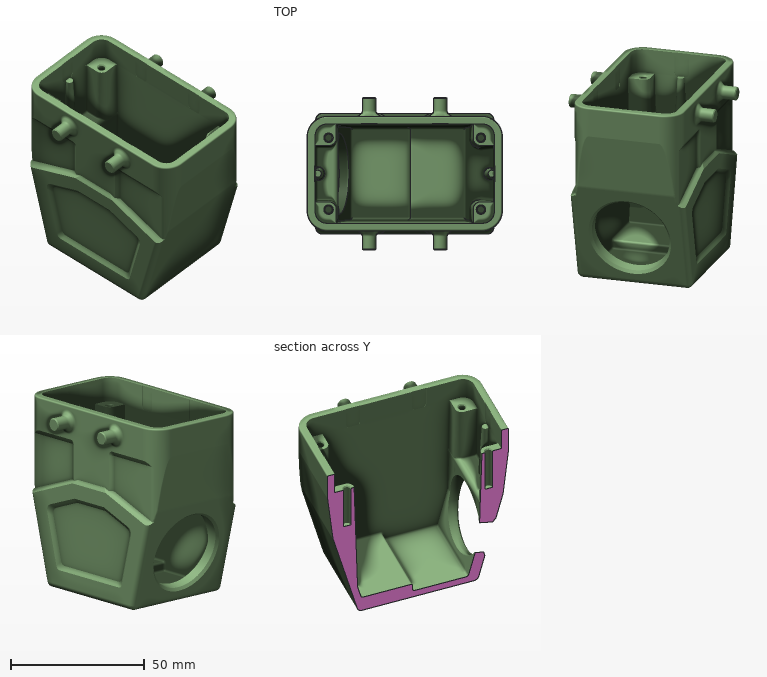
import cadquery as cq
import math

length = 73.0
height = 72.0
body_width = 42.85
body_corner_radius = 7.7
rim_rounding = 0.6

straight_wall_bottom = 60.8
slope_top = 39.8
slope_bend_radius = 5.85
slope_angle = 14.4
base_half_length = 24.1
upper_body_bottom = 21.9

block_width = 45.2
block_rounding = 2.2
gable_half_length = 9.5
gable_top = 44.45
gable_angle = 20.0
gable_bevel = 1.5

recess_depth = 1.0
recess_bevel = 1.8
recess_inner_x = 9.8
recess_top = 59.2
recess_edge_rounding = 2.2
drafted_edge_rounding = 0.9

panel_depth = 1.25
panel_bevel = 1.75
panel_bottom = 7.8
panel_top = 37.2
panel_top_half_length = 8.2
panel_side_margin = 8.2
panel_lower_corner_radius = 3.3
panel_upper_corner_radius = 5.1

pin_span = 57.0
pin_x = 13.3
pin_z = 65.8
pin_diameter = 5.1
pin_tip_chamfer = 0.4
pin_root_cone = 1.5
pin_root_radius = 1.3

mouth_length = 67.0
mouth_width = 37.1
mouth_corner_radius = 4.4
seat_z = 62.8
cavity_draft = 1.3
entry_floor_z = 3.2
raised_floor_z = 6.7
floor_step_x = 2.1
plain_wall_thickness = 3.1
entry_wall_thickness = 4.8
entry_wall_x = -24.9
entry_shelf_z = 40.15
floor_rounding = 0.9
shelf_edge_rounding = 1.8

post_inner_x = 25.6
post_inner_y = 10.6
post_corner_radius = 2.55
post_draft = 1.6
post_foot_rounding = 1.1
post_shelf_rounding = 0.6
screw_x = 28.5
screw_y = 13.4
screw_diameter = 2.7
screw_mouth_diameter = 3.5
screw_mouth_angle = 90.0
screw_depth = 18.25

rib_x = 32.5
rib_top_radius = 1.3
rib_base_radius = 3.1
rib_base_z = 32.1

groove_depth = 0.15
groove_radius = 2.85
groove_z = 64.6

entry_diameter = 30.4
entry_mouth_diameter = 32.35
entry_z = 19.85
entry_reach = 14.6

slope = math.tan(math.radians(slope_angle))
gable_slope = math.tan(math.radians(gable_angle))
half_body = body_width / 2
half_block = block_width / 2
recess_floor_y = half_body - recess_depth
selection_slack = 0.1


def slope_x(z):
    """Half length of the sloped end walls at height z."""
    return base_half_length + slope * z


def gable_meets_slope(half_top, z_top, side_margin):
    """Point where a falling gable line reaches the sloped side, moved in by side_margin."""
    z = (z_top + gable_slope * (half_top - base_half_length + side_margin)) / (1 + gable_slope * slope)
    return slope_x(z) - side_margin, z


def mirrored_outline(right_side):
    """Closed X-Z outline from its right-hand points, listed bottom to top."""
    left_side = [(-x, z) for x, z in reversed(right_side)]
    return cq.Workplane("XZ").polyline(right_side + left_side).close()


def edges_in_heights(edges, bottom, top):
    """Keep the edges whose centres lie between two heights."""
    return edges_in_range(edges, (-length, length), (bottom, top))


def edges_in_range(edges, x_range, z_range):
    """Keep the edges whose centres lie inside an X range and a Z range."""
    low = (x_range[0] - selection_slack, -length, z_range[0] - selection_slack)
    high = (x_range[1] + selection_slack, length, z_range[1] + selection_slack)
    return edges.edges(cq.selectors.BoxSelector(low, high))


def on_both_sides(shape):
    return shape.union(shape.mirror("XZ"))


def on_both_ends(shape):
    return shape.union(shape.mirror("YZ"))


def make_upper_body():
    upper = (
        cq.Workplane("XY", origin=(0, 0, upper_body_bottom))
        .rect(length, body_width)
        .extrude(height - upper_body_bottom)
    )
    upper = upper.edges("|Z").fillet(body_corner_radius)
    end_profile = mirrored_outline([
        (base_half_length, 0),
        (slope_x(slope_top), slope_top),
        (length / 2, straight_wall_bottom),
        (length / 2, height),
    ]).extrude(half_body, both=True)
    bend_edges = edges_in_heights(end_profile.edges("|Y"), slope_top, slope_top)
    upper = upper.intersect(bend_edges.fillet(slope_bend_radius))
    upper = upper.faces(">Z").edges().fillet(rim_rounding)

    floor_inner_x = recess_inner_x + recess_bevel
    floor_top = recess_top - recess_bevel
    bevel_angle = math.degrees(math.atan2(recess_bevel, recess_depth))
    recess = (
        cq.Workplane("XZ", origin=(0, -recess_floor_y, 0))
        .moveTo((floor_inner_x + length) / 2, floor_top / 2)
        .rect(length - floor_inner_x, floor_top)
        .extrude(2 * recess_depth, taper=-bevel_angle)
    )
    upper = upper.cut(on_both_ends(on_both_sides(recess)))

    recess_corner_x = math.sqrt(body_corner_radius**2 - (body_corner_radius - recess_depth)**2)
    recess_end_x = length / 2 - body_corner_radius + recess_corner_x
    for x in (-recess_end_x, recess_end_x):
        recess_ends = edges_in_range(upper.edges("|Z"), (x, x), (slope_top, recess_top))
        upper = recess_ends.fillet(recess_edge_rounding)

    drafted_z = (slope_top + block_rounding, straight_wall_bottom - block_rounding)
    for x_range in ((-length / 2, -slope_x(slope_top)), (slope_x(slope_top), length / 2)):
        draft_edges = edges_in_range(upper.edges("not |Y"), x_range, drafted_z)
        upper = draft_edges.fillet(drafted_edge_rounding)
    return upper


def make_block():
    block = mirrored_outline([
        (base_half_length, 0),
        gable_meets_slope(gable_half_length, gable_top, 0),
        (gable_half_length, gable_top),
    ]).extrude(half_block, both=True)
    block = block.faces("<X or >X").edges("not |Y").fillet(block_rounding)
    top_bevel = make_gable_bevel(half_block - half_body).translate((0, 0, gable_top))
    slope_bevel = (
        make_gable_bevel(half_block - recess_floor_y)
        .rotate((0, 0, 0), (0, 1, 0), gable_angle)
        .translate((gable_half_length, 0, gable_top))
    )
    bevels = top_bevel.union(on_both_ends(slope_bevel))
    block = block.cut(on_both_sides(bevels))
    return block.faces("<Z").edges().fillet(block_rounding)


def make_gable_bevel(depth):
    """Long wedge along X that bevels a gable edge at the origin height, on the -Y face."""
    face_y = -half_block
    return (
        cq.Workplane("YZ")
        .polyline([
            (face_y + depth, 0),
            (face_y, -gable_bevel),
            (face_y - depth, -2 * gable_bevel),
            (face_y - depth, gable_bevel),
            (face_y + depth, gable_bevel),
        ])
        .close()
        .extrude(length / 2, both=True)
    )


def make_label_recess():
    side_x, side_z = gable_meets_slope(panel_top_half_length, panel_top, panel_side_margin)
    outline = mirrored_outline([
        (slope_x(panel_bottom) - panel_side_margin, panel_bottom),
        (side_x, side_z),
        (panel_top_half_length, panel_top),
    ])
    bevel_angle = math.degrees(math.atan2(panel_bevel, panel_depth))
    recess = outline.extrude(-panel_depth, taper=bevel_angle)
    lower_corners = edges_in_heights(recess.edges("not #Y"), 0, panel_bottom + panel_bevel)
    recess = lower_corners.fillet(panel_lower_corner_radius)
    upper_corners = edges_in_heights(recess.edges("not #Y"), side_z - panel_bevel, side_z)
    recess = upper_corners.fillet(panel_upper_corner_radius)
    return recess.translate((0, -half_block, 0))


def make_pin():
    """Locking pin pointing to -Y, with a flared root."""
    radius = pin_diameter / 2
    tip = pin_span / 2
    tangent = pin_root_radius * math.tan(math.radians(45 / 2))
    diagonal = tangent * math.sqrt(0.5)
    cone_top = half_body + pin_root_cone
    cone_foot = radius + pin_root_cone
    pin = (
        cq.Workplane("XY")
        .moveTo(0, -tip)
        .lineTo(radius - pin_tip_chamfer, -tip)
        .lineTo(radius, pin_tip_chamfer - tip)
        .lineTo(radius, -cone_top - tangent)
        .tangentArcPoint((radius + diagonal, diagonal - cone_top), relative=False)
        .lineTo(cone_foot - diagonal, -half_body - diagonal)
        .tangentArcPoint((cone_foot + tangent, -half_body), relative=False)
        .lineTo(cone_foot + tangent, -half_body + rim_rounding)
        .lineTo(0, -half_body + rim_rounding)
        .close()
        .revolve(360, (0, 0, 0), (0, 1, 0))
    )
    return pin.translate((0, 0, pin_z))


def make_drafted_cavity():
    """Cavity without posts and ribs: straight mouth above the seat, drafted walls below it."""
    mouth = (
        cq.Workplane("XY", origin=(0, 0, seat_z))
        .rect(mouth_length, mouth_width)
        .extrude(height - seat_z)
        .edges("|Z")
        .fillet(mouth_corner_radius)
    )
    well = (
        cq.Workplane("XY", origin=(0, 0, seat_z))
        .sketch()
        .rect(mouth_length, mouth_width)
        .vertices()
        .fillet(mouth_corner_radius)
        .finalize()
        .extrude(-seat_z, taper=cavity_draft)
    )
    entry_break_z = (-entry_wall_x - base_half_length + entry_wall_thickness) / slope
    plain_break_z = (mouth_length / 2 - base_half_length + plain_wall_thickness) / slope
    long_section = (
        cq.Workplane("XZ")
        .polyline([
            (entry_wall_thickness - slope_x(entry_floor_z), entry_floor_z),
            (floor_step_x, entry_floor_z),
            (floor_step_x, raised_floor_z),
            (slope_x(raised_floor_z) - plain_wall_thickness, raised_floor_z),
            (mouth_length / 2, plain_break_z),
            (mouth_length / 2, seat_z),
            (-mouth_length / 2, seat_z),
            (-mouth_length / 2, entry_shelf_z),
            (entry_wall_x, entry_shelf_z),
            (entry_wall_x, entry_break_z),
        ])
        .close()
        .extrude(half_body, both=True)
    )
    well = well.intersect(long_section)
    well = edges_in_heights(well.edges(), entry_floor_z, raised_floor_z).fillet(floor_rounding)
    shelf_edges = edges_in_heights(well.edges("|Y"), entry_shelf_z, entry_shelf_z)
    well = shelf_edges.edges(">X").fillet(shelf_edge_rounding)
    shelf_edges = edges_in_heights(well.edges("|Y"), entry_shelf_z, entry_shelf_z)
    well = shelf_edges.edges("<X").fillet(floor_rounding)
    return mouth, well


def make_post():
    """Screw post in the +X, +Y corner, widening downwards and reaching past the walls."""
    return (
        cq.Workplane("XY", origin=(0, 0, seat_z))
        .sketch()
        .push([((post_inner_x + length) / 2, (post_inner_y + length) / 2)])
        .rect(length - post_inner_x, length - post_inner_y)
        .reset()
        .vertices("<X and <Y")
        .fillet(post_corner_radius)
        .finalize()
        .extrude(-seat_z, taper=-post_draft)
    )


def make_rib():
    """Tapered locating rib on the +X end wall."""
    return (
        cq.Workplane("XY", origin=(rib_x, 0, rib_base_z))
        .circle(rib_base_radius)
        .workplane(offset=seat_z - rib_base_z)
        .circle(rib_top_radius)
        .loft()
    )


def make_cavity():
    """Whole hollow of the hood; posts and ribs are left standing in it."""
    mouth, well = make_drafted_cavity()
    well = well.cut(on_both_ends(on_both_sides(make_post())))

    plain_end_x = (post_inner_x, rib_x)
    foot_edges = edges_in_range(well.edges("not |Y"), plain_end_x, (raised_floor_z, entry_shelf_z))
    well = foot_edges.fillet(post_foot_rounding)
    shelf_x = (-mouth_length / 2, entry_wall_x - shelf_edge_rounding)
    shelf_edges = edges_in_range(well.edges("not |Y"), shelf_x, (entry_shelf_z, entry_shelf_z))
    well = shelf_edges.fillet(post_shelf_rounding)

    well = well.cut(on_both_ends(make_rib()))
    return mouth.union(well)


def make_groove():
    """Groove open at the rim and round at the bottom, starting at Y = 0 and cutting towards -Y."""
    return (
        cq.Workplane("XZ")
        .moveTo(-groove_radius, height)
        .lineTo(-groove_radius, groove_z)
        .threePointArc((0, groove_z - groove_radius), (groove_radius, groove_z))
        .lineTo(groove_radius, height)
        .close()
        .extrude(groove_depth)
    )


def make_mouth_grooves():
    """Grooves behind each pin and in the middle of both end walls."""
    side_groove = make_groove().translate((pin_x, -mouth_width / 2, 0))
    end_groove = make_groove().translate((0, -mouth_length / 2, 0)).rotate((0, 0, 0), (0, 0, 1), 90)
    return on_both_ends(on_both_sides(side_groove)).union(on_both_ends(end_groove))


def make_entry_hole():
    """Chamfered cable entry, drilled square to the sloped -X wall."""
    radius = entry_diameter / 2
    mouth_radius = entry_mouth_diameter / 2
    hole = (
        cq.Workplane("XY")
        .lineTo(0, mouth_radius)
        .lineTo(mouth_radius - radius, radius)
        .lineTo(entry_reach, radius)
        .lineTo(entry_reach, 0)
        .close()
        .revolve(360, (0, 0, 0), (1, 0, 0))
    )
    return hole.rotate((0, 0, 0), (0, 1, 0), -slope_angle).translate((-slope_x(entry_z), 0, entry_z))


result = make_upper_body().union(make_block())
result = result.cut(on_both_sides(make_label_recess()))
result = result.union(on_both_ends(on_both_sides(make_pin().translate((pin_x, 0, 0)))))
result = result.cut(make_cavity())
result = result.cut(make_mouth_grooves())
result = result.cut(make_entry_hole())

result = (
    result.copyWorkplane(cq.Workplane("XY", origin=(0, 0, seat_z)))
    .rect(2 * screw_x, 2 * screw_y, forConstruction=True)
    .vertices()
    .cskHole(screw_diameter, screw_mouth_diameter, screw_mouth_angle, screw_depth)
)